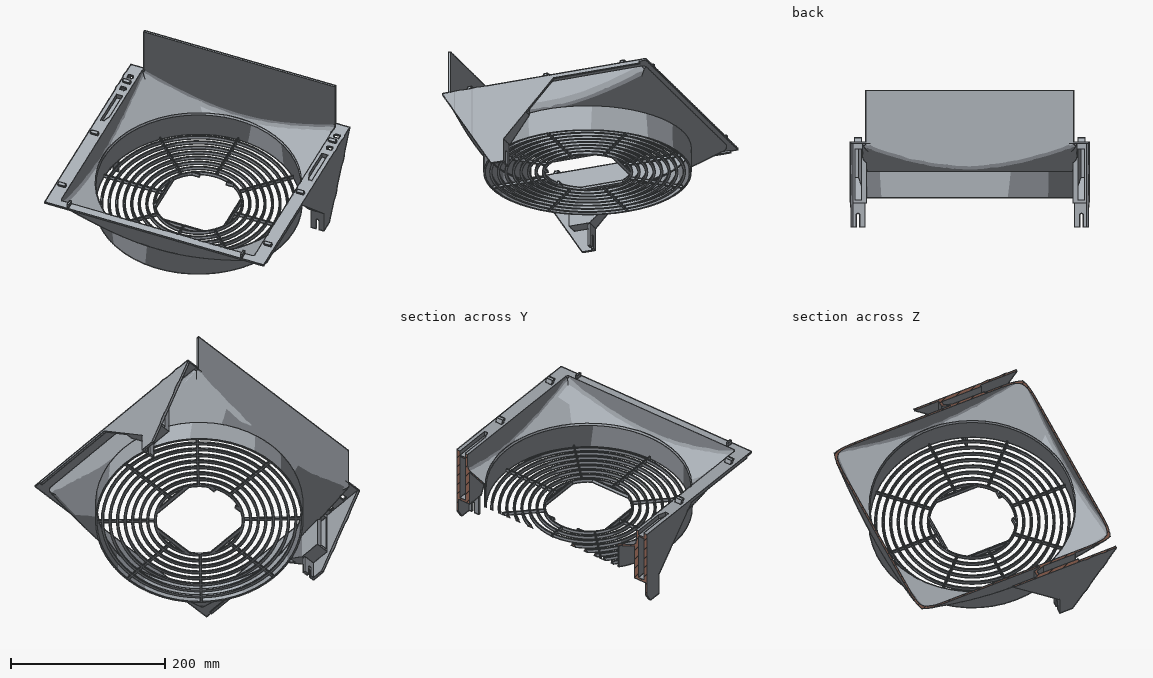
import cadquery as cq
import math


OVERALL_HEIGHT = 176.95

MARGIN = 1.0

WALL = 3.0

PLATE_HALF_WIDTH = 154.0
PLATE_FRONT_Y = -146.5
PLATE_BACK_Y = 139.0
PLATE_THICKNESS = 2.5
SIDE_LIP_DEPTH = 5.0
SIDE_LIP_FRONT_Y = -137.0

PANEL_HALF_WIDTH = 134.8
PANEL_HEIGHT = 66.5

DUCT_OUTER_HALF = PLATE_BACK_Y
DUCT_CORNER_RADIUS = 6.0
DUCT_EDGE_RADIUS = 11.0
CONE_SLOPE = 0.5
CONE_BASE_Z = -38.5
CONE_INWARD_REACH = 20.0

RING_OUTER_RADIUS = 134.5
RING_WALL = 2.0
RING_BOTTOM_Z = -72.5
RIM_BEVEL = 1.5

GRILLE_DEPTH = 4.0
WIRE_BASE_WIDTH = 3.0
WIRE_TOP_WIDTH = 1.4
SPOKE_BASE_WIDTH = 2.8
SPOKE_TOP_WIDTH = 1.4
GRILLE_HUB_RADIUS = 57.0
GRILLE_PITCH = 9.77
GRILLE_RING_COUNT = 8
SPOKE_COUNT = 8
HUB_BAR_INNER = 47.0
HUB_BAR_BASE_WIDTH = 4.5
HUB_BAR_TOP_WIDTH = 2.0
HUB_BAR_ANGLES = (0, 180, 270)
HUB_TAB_GAP_HALF = 19.0

BRACKET_BOTTOM_Z = PANEL_HEIGHT - OVERALL_HEIGHT
BRACKET_TOE_FRONT_Y = 53.3
BRACKET_TOE_BACK_Y = 71.5
BRACKET_KNEE_Z = -79.5
BRACKET_FRONT_Y = -17.0
LEG_INNER_X = 133.4
LEG_FRONT_Y = 22.0
LEG_FRONT_INNER_X = 142.0
LEG_BACK_Y = 82.0

SLOT_OUTER_X = 148.5
SLOT_INNER_X = 140.2
SLOT_TIP_INNER_X = 144.0
SLOT_FRONT_Y = 26.0
SLOT_TAPER_END_Y = 36.5
SLOT_BACK_Y = 79.0
SLOT_DEPTH = 6.5

FOOT_INNER_X = 135.5
NOTCH_CENTER_X = 144.7
NOTCH_WIDTH = 4.2
NOTCH_TOP_Z = -92.8

BULGE_HEIGHT = 0.8
BULGE_LENGTH = 10.6
BULGE_CENTERS_Y = (117.3, 92.5)

SCREW_HOLE_OUTER_X = 149.0
SCREW_HOLE_INNER_X = 141.0
SCREW_HOLE_BOW = 2.0
SCREW_HOLE_WIDTH = 6.4
SCREW_HOLE_CENTERS_Y = (117.0, 92.5)

HOOK_INNER_X = 140.0
HOOK_OUTER_X = 149.5
HOOK_BACK_Y = (107.5, 0.8, -106.8)
HOOK_HEIGHT = 5.4
HOOK_LENGTH = 7.6
HOOK_POST = 3.5
HOOK_LEAN = 2.4
HOOK_LIP = 2.5
HOOK_LIP_TIP = 1.2

RIB_CENTER_X = 122.0
RIB_THICKNESS = 2.6
RIB_BACK_Y = -136.5
RIB_FRONT_Y = -144.5
RIB_HEIGHT = 5.2


def block(x_range, y_range, z_range):
    sizes = [high - low for low, high in (x_range, y_range, z_range)]
    corner = (x_range[0], y_range[0], z_range[0])
    return cq.Workplane("XY").box(*sizes, centered=False).translate(corner)


def cylinder(radius, bottom_z, top_z):
    return cq.Workplane("XY").workplane(offset=bottom_z).circle(radius).extrude(top_z - bottom_z)


def side_profile(points, x_start, x_end):
    """Extrude a (y, z) outline from x_start to x_end."""
    return cq.Workplane("YZ").workplane(offset=x_start).polyline(points).close().extrude(x_end - x_start)


def mirrored(body):
    """The body together with its mirror image across x = 0."""
    return body.union(body.mirror("YZ"))


def duct_volume(half, cone_z, corner_radius, edge_radius):
    """Square prism whose floor is a cone sinking to cone_z at the fan ring."""
    tip_radius = RING_OUTER_RADIUS - CONE_INWARD_REACH
    tip_z = cone_z - CONE_INWARD_REACH * CONE_SLOPE
    far_radius = 2 * half
    far_z = cone_z + (far_radius - RING_OUTER_RADIUS) * CONE_SLOPE
    cone = (
        cq.Workplane("XZ")
        .polyline([(0, tip_z), (tip_radius, tip_z), (far_radius, far_z), (0, far_z)])
        .close()
        .revolve(360, (0, 0), (0, 1))
    )
    overrun = half + DUCT_EDGE_RADIUS
    trough = block((-half, half), (-overrun, overrun), (tip_z, 0)).intersect(cone)
    for side in (-half, half):
        wall_edge = cq.selectors.BoxSelector(
            (side - MARGIN, -overrun - MARGIN, tip_z - MARGIN),
            (side + MARGIN, overrun + MARGIN, -MARGIN),
            boundingbox=True,
        )
        trough = trough.edges(wall_edge).edges("not |Z").fillet(edge_radius)
    crossing_trough = trough.rotate((0, 0, 0), (0, 0, 1), 90)
    prism = block((-half, half), (-half, half), (tip_z, 0)).edges("|Z").fillet(corner_radius)
    return trough.intersect(crossing_trough).intersect(prism)


def make_shell_outside():
    plate = block(
        (-PLATE_HALF_WIDTH, PLATE_HALF_WIDTH), (PLATE_FRONT_Y, PLATE_BACK_Y), (-PLATE_THICKNESS, 0)
    )
    duct = duct_volume(DUCT_OUTER_HALF, CONE_BASE_Z, DUCT_CORNER_RADIUS, DUCT_EDGE_RADIUS)
    below_ring_top = block(
        (-RING_OUTER_RADIUS, RING_OUTER_RADIUS),
        (-RING_OUTER_RADIUS, RING_OUTER_RADIUS),
        (RING_BOTTOM_Z, CONE_BASE_Z),
    )
    ring = cylinder(RING_OUTER_RADIUS, RING_BOTTOM_Z, CONE_BASE_Z + WALL)
    return plate.union(duct.cut(below_ring_top)).union(ring)


def make_air_passage():
    cone_lift = WALL * math.hypot(1, CONE_SLOPE)
    duct = duct_volume(
        DUCT_OUTER_HALF - WALL, CONE_BASE_Z + cone_lift, DUCT_CORNER_RADIUS - WALL, DUCT_EDGE_RADIUS - WALL
    )
    bore_radius = RING_OUTER_RADIUS - RING_WALL
    bore = cylinder(bore_radius, RING_BOTTOM_Z, CONE_BASE_Z + WALL)
    rim_z = CONE_BASE_Z + cone_lift
    rim = (
        cq.Workplane("XY")
        .workplane(offset=rim_z - 2 * RIM_BEVEL)
        .circle(bore_radius)
        .workplane(offset=2 * RIM_BEVEL)
        .circle(bore_radius + RIM_BEVEL)
        .loft()
    )
    return duct.union(bore).union(rim)


def make_panel():
    return block(
        (-PANEL_HALF_WIDTH, PANEL_HALF_WIDTH),
        (PLATE_BACK_Y - WALL, PLATE_BACK_Y),
        (-PLATE_THICKNESS, PANEL_HEIGHT),
    )


def tapered_section(center_x, base_width, top_width):
    """Trapezoid in the XZ plane, wide at the bottom of the ring and narrow at the grille top."""
    top_z = RING_BOTTOM_Z + GRILLE_DEPTH
    points = [
        (center_x - base_width / 2, RING_BOTTOM_Z),
        (center_x + base_width / 2, RING_BOTTOM_Z),
        (center_x + top_width / 2, top_z),
        (center_x - top_width / 2, top_z),
    ]
    return cq.Workplane("XZ").polyline(points).close()


def turned(body, angle):
    return body.rotate((0, 0, 0), (0, 0, 1), angle)


def make_hub_bars(z_range):
    """Straight bars on three sides of the hub opening and two short tabs on the rear side."""
    center_x = HUB_BAR_INNER + HUB_BAR_BASE_WIDTH / 2
    section = tapered_section(center_x, HUB_BAR_BASE_WIDTH, HUB_BAR_TOP_WIDTH)
    bar = section.extrude(GRILLE_HUB_RADIUS, both=True)
    bar = bar.intersect(cylinder(GRILLE_HUB_RADIUS, *z_range))
    tab_gap = block(
        (HUB_BAR_INNER, GRILLE_HUB_RADIUS), (-HUB_TAB_GAP_HALF, HUB_TAB_GAP_HALF), z_range
    )
    bars = turned(bar.cut(tab_gap), 90)
    for angle in HUB_BAR_ANGLES:
        bars = bars.union(turned(bar, angle))
    return bars


def make_grille():
    z_range = (RING_BOTTOM_Z, RING_BOTTOM_Z + GRILLE_DEPTH)
    reach = RING_OUTER_RADIUS - RING_WALL / 2

    grille = make_hub_bars(z_range)
    for index in range(GRILLE_RING_COUNT):
        radius = GRILLE_HUB_RADIUS + index * GRILLE_PITCH
        section = tapered_section(radius, WIRE_BASE_WIDTH, WIRE_TOP_WIDTH)
        grille = grille.union(section.revolve(360, (0, 0), (0, 1)))

    for index in range(SPOKE_COUNT):
        angle = index * 360 / SPOKE_COUNT
        meets_bar = angle in HUB_BAR_ANGLES
        start = HUB_BAR_INNER + HUB_BAR_BASE_WIDTH / 2 if meets_bar else GRILLE_HUB_RADIUS
        section = tapered_section(0, SPOKE_BASE_WIDTH, SPOKE_TOP_WIDTH)
        spoke = section.extrude(start - reach).translate((0, start, 0))
        grille = grille.union(turned(spoke, angle - 90))
    return grille


def plan_prism(points, z_range):
    """Extrude an (x, y) outline over z_range."""
    height = z_range[1] - z_range[0]
    return cq.Workplane("XY").workplane(offset=z_range[0]).polyline(points).close().extrude(height)


def wall_bulge(center_y):
    wall_x = PLATE_HALF_WIDTH - WALL
    start_y = center_y - BULGE_LENGTH / 2
    end_y = center_y + BULGE_LENGTH / 2
    return (
        cq.Workplane("XY")
        .workplane(offset=BRACKET_BOTTOM_Z)
        .moveTo(wall_x, start_y)
        .lineTo(PLATE_HALF_WIDTH, start_y)
        .threePointArc((PLATE_HALF_WIDTH + BULGE_HEIGHT, center_y), (PLATE_HALF_WIDTH, end_y))
        .lineTo(wall_x, end_y)
        .close()
        .extrude(-BRACKET_BOTTOM_Z)
    )


def make_bracket():
    far_x = PLATE_HALF_WIDTH + BULGE_HEIGHT
    inner_wall_x = PLATE_HALF_WIDTH - WALL
    outline = [
        (BRACKET_FRONT_Y, 0),
        (BRACKET_FRONT_Y, -SIDE_LIP_DEPTH),
        (BRACKET_TOE_FRONT_Y, BRACKET_KNEE_Z),
        (BRACKET_TOE_FRONT_Y, BRACKET_BOTTOM_Z),
        (BRACKET_TOE_BACK_Y, BRACKET_BOTTOM_Z),
        (PLATE_BACK_Y, -PLATE_THICKNESS),
        (PLATE_BACK_Y, 0),
    ]
    silhouette = side_profile(outline, LEG_INNER_X, far_x)

    bracket = block(
        (inner_wall_x, PLATE_HALF_WIDTH), (BRACKET_FRONT_Y, PLATE_BACK_Y), (BRACKET_BOTTOM_Z, 0)
    )
    for center_y in BULGE_CENTERS_Y:
        bracket = bracket.union(wall_bulge(center_y))

    leg_plan = [
        (inner_wall_x, LEG_FRONT_Y),
        (LEG_FRONT_INNER_X, LEG_FRONT_Y),
        (LEG_INNER_X, BRACKET_TOE_FRONT_Y),
        (LEG_INNER_X, LEG_BACK_Y),
        (inner_wall_x, LEG_BACK_Y),
    ]
    bracket = bracket.union(plan_prism(leg_plan, (BRACKET_KNEE_Z, 0)))
    foot_plate = block(
        (FOOT_INNER_X, PLATE_HALF_WIDTH),
        (BRACKET_TOE_FRONT_Y, BRACKET_TOE_FRONT_Y + WALL),
        (BRACKET_BOTTOM_Z, BRACKET_KNEE_Z + WALL),
    )
    bracket = bracket.union(foot_plate).intersect(silhouette)
    return bracket.cut(make_notch()).cut(make_leg_cavity())


def make_notch():
    radius = NOTCH_WIDTH / 2
    arch_z = NOTCH_TOP_Z - radius
    y_range = (BRACKET_TOE_FRONT_Y - MARGIN, BRACKET_TOE_FRONT_Y + WALL + MARGIN)
    slot = block(
        (NOTCH_CENTER_X - radius, NOTCH_CENTER_X + radius), y_range, (BRACKET_BOTTOM_Z, arch_z)
    )
    arch = (
        cq.Workplane("XZ", origin=(NOTCH_CENTER_X, y_range[1], arch_z))
        .circle(radius)
        .extrude(y_range[1] - y_range[0])
    )
    return slot.union(arch)


def slot_prism(back_y, z_range):
    """Prism with the tapered slot outline, ending at back_y."""
    slot_plan = [
        (SLOT_OUTER_X, SLOT_FRONT_Y),
        (SLOT_TIP_INNER_X, SLOT_FRONT_Y),
        (SLOT_INNER_X, SLOT_TAPER_END_Y),
        (SLOT_INNER_X, back_y),
        (SLOT_OUTER_X, back_y),
    ]
    return plan_prism(slot_plan, z_range)


def make_leg_cavity():
    """Hollow of the leg below the slot, open toward the rear."""
    slope = (BRACKET_KNEE_Z + SIDE_LIP_DEPTH) / (BRACKET_TOE_FRONT_Y - BRACKET_FRONT_Y)
    floor_lift = WALL * math.hypot(1, slope)
    floor_z = BRACKET_KNEE_Z + floor_lift
    above_floor = [
        (BRACKET_FRONT_Y, 0),
        (BRACKET_FRONT_Y, -SIDE_LIP_DEPTH + floor_lift),
        (BRACKET_TOE_FRONT_Y, floor_z),
        (PLATE_BACK_Y, floor_z),
        (PLATE_BACK_Y, 0),
    ]
    cavity = slot_prism(LEG_BACK_Y, (BRACKET_KNEE_Z, -SLOT_DEPTH - WALL))
    return cavity.intersect(side_profile(above_floor, LEG_INNER_X, PLATE_HALF_WIDTH))


def make_side_lip():
    return block(
        (PLATE_HALF_WIDTH - WALL, PLATE_HALF_WIDTH),
        (SIDE_LIP_FRONT_Y, BRACKET_FRONT_Y),
        (-SIDE_LIP_DEPTH, 0),
    )


def make_screw_hole(center_y):
    half_width = SCREW_HOLE_WIDTH / 2
    arc_x = SCREW_HOLE_INNER_X + SCREW_HOLE_BOW
    return (
        cq.Workplane("XY")
        .moveTo(SCREW_HOLE_OUTER_X, center_y - half_width)
        .lineTo(SCREW_HOLE_OUTER_X, center_y + half_width)
        .lineTo(arc_x, center_y + half_width)
        .threePointArc((SCREW_HOLE_INNER_X, center_y), (arc_x, center_y - half_width))
        .close()
        .extrude(-PLATE_THICKNESS)
    )


def make_hook(back_y):
    lip_z = HOOK_HEIGHT - HOOK_LIP
    profile = [
        (back_y, 0),
        (back_y - HOOK_LEAN, HOOK_HEIGHT),
        (back_y - HOOK_LENGTH, HOOK_HEIGHT),
        (back_y - HOOK_LENGTH, HOOK_HEIGHT - HOOK_LIP_TIP),
        (back_y - HOOK_LENGTH + HOOK_LIP_TIP, lip_z),
        (back_y - HOOK_POST - HOOK_LEAN, lip_z),
        (back_y - HOOK_POST, -PLATE_THICKNESS),
        (back_y, -PLATE_THICKNESS),
    ]
    return side_profile(profile, HOOK_INNER_X, HOOK_OUTER_X)


def make_front_rib():
    half = RIB_THICKNESS / 2
    return block(
        (RIB_CENTER_X - half, RIB_CENTER_X + half),
        (RIB_FRONT_Y, RIB_BACK_Y),
        (-PLATE_THICKNESS, RIB_HEIGHT),
    )


side_parts = make_bracket().union(make_side_lip()).union(make_front_rib())
for hook_y in HOOK_BACK_Y:
    side_parts = side_parts.union(make_hook(hook_y))

side_cuts = slot_prism(SLOT_BACK_Y, (-SLOT_DEPTH, 0))
for hole_y in SCREW_HOLE_CENTERS_Y:
    side_cuts = side_cuts.union(make_screw_hole(hole_y))

body = make_shell_outside().union(mirrored(side_parts)).cut(make_air_passage())
result = body.union(make_panel()).union(make_grille()).cut(mirrored(side_cuts))